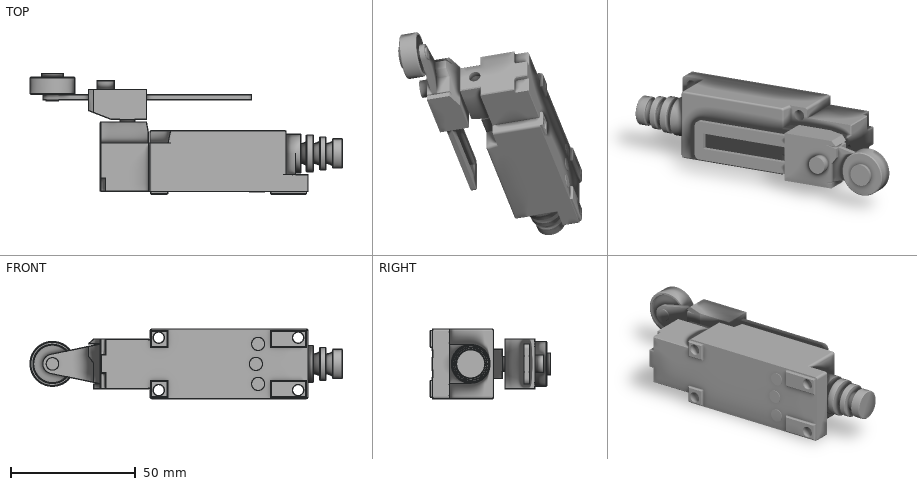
import cadquery as cq
import math

back_y = 1.1
step_y = 20.7
edge_chamfer = 0.4
clearance = 1.3

housing_left = 48.1
housing_right = 102.7
housing_front = 25.5
housing_half_height = 14.0
plate_right = 111.4
plate_front = 7.9
corner_round = 1.0
front_round = 0.8

recess_right = 55.3
recess_lean = 1.0
recess_half_gap = 5.9

pad_inner_z = 6.6
pad_outer_z = 13.4
pad_spans = [(48.3, 55.2), (96.4, 110.8)]
mount_hole_xs = [51.6, 107.4]
mount_hole_z = 10.5
mount_hole_diameter = 4.4

boss_centres = [(91.4, 8.0), (90.5, 0), (91.4, -8.0)]
boss_radius = 2.6
boss_height = 0.3

head_left = 28.0
head_right = 47.5
head_half_height = 10.0
head_rim_chamfer = 0.3
nose_front = 29.0
nose_half_height = 5.9
nose_lean = 0.8
nose_lean_start = 24.7
pocket_depth = 2.1
pocket_front = 6.6
pocket_inner_z = 3.8
pocket_round = 1.0
head_hole_diameter = 4.8
head_hole_depth = 2.5
head_hole_y = 22.9

gland_y = 16.4
gland_flange_radius = 7.8
gland_flange_right = 108.7
gland_block_right = 106.4
gland_neck_radius = 4.0
gland_neck_flare = 0.9
gland_ring_chamfer = 0.3
gland_rings = [(110.7, 113.5, 7.4), (116.0, 118.6, 6.6), (121.2, 125.2, 5.9)]

roller_radius = 9.0
roller_x = roller_radius
roller_back = 40.1
roller_front = 47.0
roller_recess_depth = 1.0
roller_recess_radius = 7.9
hub_radius = 4.4
lever_front = 48.5
pin_radius = 2.5
pin_back = 37.3

arm_back = 37.8
arm_thickness = 2.1
arm_tip_radius = 3.9
arm_half_width = 8.0
arm_taper_end = 28.2
arm_right = 88.8
arm_corner = 2.0
arm_slot_half_width = 3.3
arm_slot_end_wall = 3.8

clamp_left = 23.4
clamp_step_x = 25.5
clamp_right = 46.7
clamp_back = 30.0
clamp_front = 42.1
clamp_half_height = 10.0
clamp_bevel_right = 32.4
clamp_bevel_front = 33.5
clamp_tooth_z = 3.1
clamp_tooth_root_z = 0.3

bolt_x = 30.3
bolt_radius = 3.5
bolt_front = 45.6
shaft_x = 39.0
shaft_radius = 3.0


def box(x_span, y_span, z_span):
    """Box between two limits on each axis."""
    size = [span[1] - span[0] for span in (x_span, y_span, z_span)]
    corner = (x_span[0], y_span[0], z_span[0])
    return cq.Workplane("XY").box(*size, centered=False).translate(corner)


def y_cylinder(x, z, radius, y_start, y_end):
    """Cylinder along Y between two limits."""
    disc = cq.Workplane("XZ", origin=(x, y_start, z)).circle(radius)
    return disc.extrude(y_start - y_end)


def mirrored_z(shape):
    """The shape together with its mirror image across Z = 0."""
    return shape.union(shape.mirror("XY"))


def z_prism(points, z_half):
    """Outline in X and Y extruded evenly to both sides of Z = 0."""
    return cq.Workplane("XY").polyline(points).close().extrude(z_half, both=True)


def make_case():
    full = (-housing_half_height, housing_half_height)
    case = box((housing_left, housing_right), (back_y, housing_front), full)
    case = case.edges("|Y").fillet(corner_round).cut(make_recesses())
    wall_tops = case.edges(
        cq.selectors.BoxSelector(
            (recess_right - clearance, step_y + clearance, -housing_half_height - clearance),
            (
                recess_right + recess_lean + clearance,
                housing_front - clearance,
                housing_half_height + clearance,
            ),
        )
    )
    case = wall_tops.edges(">Z or <Z").fillet(corner_round).faces(">Y").edges().fillet(front_round)
    plate = box((housing_left, plate_right), (back_y, plate_front), full)
    plate = plate.edges("|Y").fillet(corner_round)
    return case.union(plate)


def make_recesses():
    wall_run = recess_lean * clearance / (housing_front - step_y)
    profile = [
        (housing_left - clearance, step_y),
        (recess_right, step_y),
        (recess_right + recess_lean + wall_run, housing_front + clearance),
        (housing_left - clearance, housing_front + clearance),
    ]
    depth = housing_half_height + clearance - recess_half_gap
    recess = cq.Workplane("XY", origin=(0, 0, recess_half_gap)).polyline(profile).close().extrude(depth)
    return mirrored_z(recess)


def make_pads():
    pads = cq.Workplane("XY")
    for span in pad_spans:
        pad = box(span, (0, back_y), (pad_inner_z, pad_outer_z)).faces("<Y").chamfer(edge_chamfer)
        pads = pads.union(mirrored_z(pad))
    return pads


def make_bosses():
    bosses = cq.Workplane("XY")
    for x, z in boss_centres:
        bosses = bosses.union(y_cylinder(x, z, boss_radius, back_y - boss_height, back_y))
    return bosses


def make_mount_holes():
    holes = cq.Workplane("XY")
    for x in mount_hole_xs:
        hole = y_cylinder(x, mount_hole_z, mount_hole_diameter / 2, 0, housing_front)
        holes = holes.union(mirrored_z(hole))
    return holes


def make_nose():
    outline = [
        (head_left, back_y),
        (head_right, back_y),
        (head_right, nose_lean_start),
        (head_right - nose_lean, nose_front),
        (head_left, nose_front),
    ]
    return z_prism(outline, nose_half_height)


def make_head():
    pocket = box(
        (head_left, head_left + pocket_depth), (back_y, pocket_front), (pocket_inner_z, head_half_height)
    )
    pocket = pocket.edges("|X and >Y and <Z").fillet(pocket_round)
    hole = cq.Workplane("YZ", origin=(head_left, head_hole_y, 0)).circle(head_hole_diameter / 2)
    hole = hole.extrude(head_hole_depth)
    full = (-head_half_height, head_half_height)
    head = box((head_left, head_right), (back_y, step_y), full).union(make_nose()).cut(mirrored_z(pocket))
    head = head.faces("<X").edges().chamfer(edge_chamfer)
    head = head.faces("<Y").edges("not >X").chamfer(head_rim_chamfer)
    joint_half_height = head_half_height - head_rim_chamfer
    joint = box((head_right, housing_left), (back_y, step_y), (-joint_half_height, joint_half_height))
    return head.cut(hole).union(joint)


def add_gland_ring(outline, neck_start, start, end, radius):
    """Continue the gland outline along a flaring neck, up one ring and across its rim."""
    neck_length = start - neck_start
    flare_radius = (neck_length**2 + gland_neck_flare**2) / (2 * gland_neck_flare)
    return (
        outline.lineTo(neck_start, gland_neck_radius)
        .radiusArc((start, gland_neck_radius + gland_neck_flare), -flare_radius)
        .lineTo(start, radius - gland_ring_chamfer)
        .lineTo(start + gland_ring_chamfer, radius)
        .lineTo(end - gland_ring_chamfer, radius)
        .lineTo(end, radius - gland_ring_chamfer)
    )


def make_gland():
    outline = (
        cq.Workplane("XY")
        .moveTo(housing_right, 0)
        .lineTo(housing_right, gland_flange_radius)
        .lineTo(gland_flange_right - gland_ring_chamfer, gland_flange_radius)
        .lineTo(gland_flange_right, gland_flange_radius - gland_ring_chamfer)
    )
    neck_start = gland_flange_right
    for start, end, radius in gland_rings:
        outline = add_gland_ring(outline, neck_start, start, end, radius)
        neck_start = end
    gland = outline.lineTo(neck_start, 0).close().revolve(360, (0, 0, 0), (1, 0, 0))
    gland = gland.translate((0, gland_y, 0))
    block = box(
        (housing_right, gland_block_right),
        (plate_front, gland_y),
        (-gland_flange_radius, gland_flange_radius),
    )
    return gland.union(block)


def make_housing():
    housing = make_case().union(make_pads()).union(make_bosses()).cut(make_mount_holes())
    return housing.union(make_head()).union(make_gland())


def make_roller():
    roller = y_cylinder(roller_x, 0, roller_radius, roller_back, roller_front)
    roller = roller.faces("<Y or >Y").chamfer(edge_chamfer)
    recess = y_cylinder(
        roller_x, 0, roller_recess_radius, roller_back, roller_back + roller_recess_depth
    )
    recess = recess.faces(">Y").chamfer(edge_chamfer)
    hub = y_cylinder(roller_x, 0, hub_radius, roller_front, lever_front)
    pin = y_cylinder(roller_x, 0, pin_radius, pin_back, roller_front)
    return roller.cut(recess).union(hub).union(pin)


def arm_tangent_point():
    """X and Z of the point where the upper flank leaves the rounded tip."""
    reach = arm_taper_end - roller_x
    angle = math.atan2(arm_half_width, reach) + math.acos(arm_tip_radius / math.hypot(reach, arm_half_width))
    return roller_x + arm_tip_radius * math.cos(angle), arm_tip_radius * math.sin(angle)


def make_arm():
    tangent_x, tangent_z = arm_tangent_point()
    arm = (
        cq.Workplane("XZ", origin=(0, arm_back, 0))
        .moveTo(tangent_x, tangent_z)
        .threePointArc((roller_x - arm_tip_radius, 0), (tangent_x, -tangent_z))
        .lineTo(arm_taper_end, -arm_half_width)
        .lineTo(arm_right, -arm_half_width)
        .lineTo(arm_right, arm_half_width)
        .lineTo(arm_taper_end, arm_half_width)
        .close()
        .extrude(-arm_thickness)
        .edges("|Y and >X")
        .fillet(arm_corner)
    )
    slot = box(
        (bolt_x, arm_right - arm_slot_end_wall),
        (arm_back, arm_back + arm_thickness),
        (-arm_slot_half_width, arm_slot_half_width),
    )
    return arm.cut(slot)


def make_flank_gap():
    """Wedge left open between the tapering flank of the arm and the straight clamp channel."""
    tangent_x, tangent_z = arm_tangent_point()
    wedge = [
        (tangent_x, tangent_z),
        (arm_taper_end, arm_half_width),
        (tangent_x, arm_half_width),
    ]
    gap = cq.Workplane("XZ", origin=(0, clamp_back, 0)).polyline(wedge).close()
    return gap.extrude(clamp_back - clamp_front)


def make_clamp():
    outline = [
        (clamp_left, arm_half_width),
        (clamp_step_x, clamp_half_height),
        (clamp_right, clamp_half_height),
        (clamp_right, -clamp_half_height),
        (clamp_step_x, -clamp_half_height),
        (clamp_step_x, clamp_tooth_root_z),
        (clamp_left, clamp_tooth_z),
    ]
    clamp = cq.Workplane("XZ", origin=(0, clamp_back, 0)).polyline(outline).close()
    clamp = clamp.extrude(clamp_back - clamp_front)
    bevel = z_prism(
        [
            (clamp_left, clamp_back),
            (clamp_bevel_right, clamp_back),
            (clamp_left, clamp_bevel_front),
        ],
        clamp_half_height,
    )
    return clamp.cut(bevel).cut(mirrored_z(make_flank_gap()))


def make_lever():
    bolt = y_cylinder(bolt_x, 0, bolt_radius, clamp_front, bolt_front)
    shaft = y_cylinder(shaft_x, 0, shaft_radius, nose_front, clamp_back)
    return make_roller().union(make_arm()).union(make_clamp()).union(bolt).union(shaft)


housing = make_housing()
lever = make_lever()
result = cq.Compound.makeCompound([housing.val(), lever.val()])